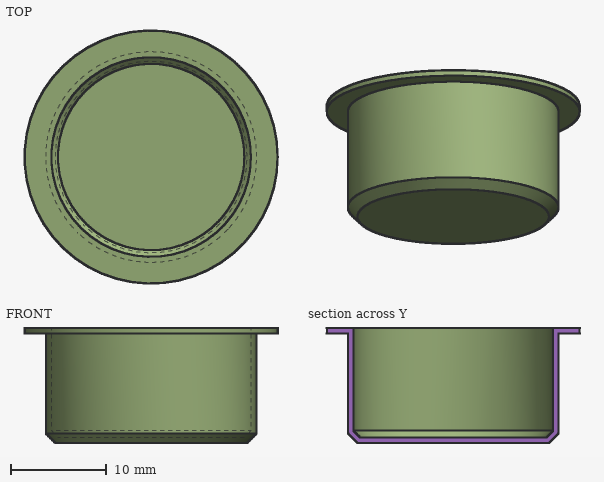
import cadquery as cq

height = 12.0
flange_diameter = 26.4
flange_thickness = 0.6
body_diameter = 22.0
bore_diameter = 20.8
floor_thickness = 0.6
outer_chamfer = 1.0
inner_chamfer = 0.69


def make_body():
    """Cylindrical cup body with a chamfered bottom edge."""
    body = cq.Workplane("XY").circle(body_diameter / 2).extrude(height)
    return body.faces("<Z").edges().chamfer(outer_chamfer)


def make_flange():
    """Thin round flange flush with the top of the body."""
    flange_bottom = height - flange_thickness
    return (
        cq.Workplane("XY")
        .workplane(offset=flange_bottom)
        .circle(flange_diameter / 2)
        .extrude(flange_thickness)
    )


def make_cavity():
    """Blind bore whose lower edge tapers in to the floor."""
    depth = height - floor_thickness
    cavity = (
        cq.Workplane("XY")
        .workplane(offset=floor_thickness)
        .circle(bore_diameter / 2)
        .extrude(depth)
    )
    return cavity.faces("<Z").edges().chamfer(inner_chamfer)


result = make_body().union(make_flange()).cut(make_cavity())